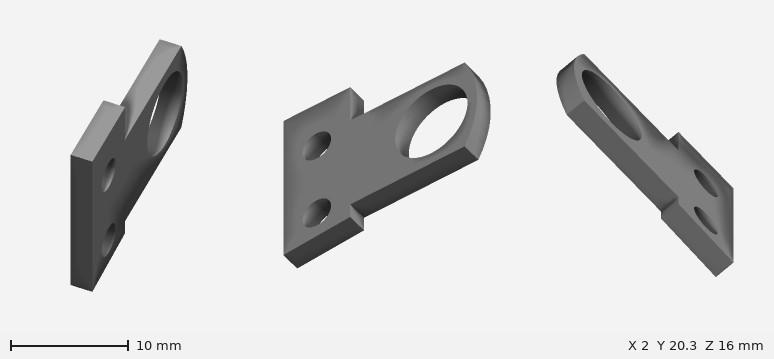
import cadquery as cq

thickness = 2.0
total_length = 20.3
total_height = 16.0

head_length = 7.0
top_z = 9.0
bottom_z = top_z - total_height
bottom_edge_rise = 0.5

arm_width = 10.0
arm_half = arm_width / 2
arm_corner_y = 19.0

bore_diameter = 7.6
bore_y = 15.5
screw_diameter = 3.0
screw_y = head_length / 2
screw_spacing = 8.0
upper_screw_z = 4.0
screw_heights = (upper_screw_z, upper_screw_z - screw_spacing)


def plate():
    """Head and arm outline, extruded through the thickness."""
    return (
        cq.Workplane("YZ")
        .moveTo(0, bottom_z)
        .lineTo(head_length, bottom_z + bottom_edge_rise)
        .lineTo(head_length, -arm_half)
        .lineTo(arm_corner_y, -arm_half)
        .threePointArc((total_length, 0), (arm_corner_y, arm_half))
        .lineTo(head_length, arm_half)
        .lineTo(head_length, top_z)
        .lineTo(0, top_z)
        .close()
        .extrude(thickness)
    )


def through_hole(y, z, diameter):
    """Cylinder that cuts a hole through the whole plate."""
    return cq.Workplane("YZ").center(y, z).circle(diameter / 2).extrude(thickness)


result = plate().cut(through_hole(bore_y, 0, bore_diameter))
for screw_z in screw_heights:
    result = result.cut(through_hole(screw_y, screw_z, screw_diameter))